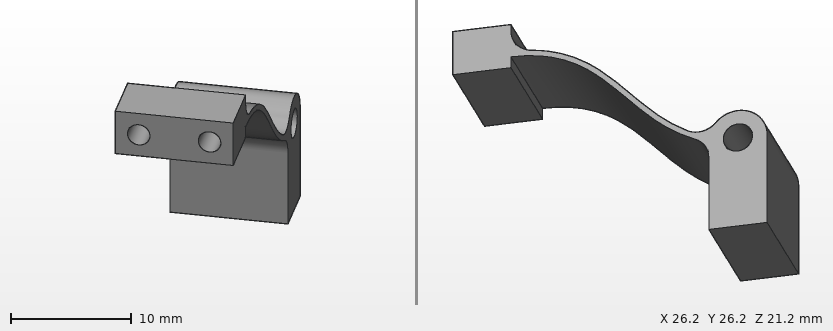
import cadquery as cq

LENGTH = 27.0
WIDTH = 10.0
HEIGHT = 21.18
TURN_ANGLE = -45.0

FOOT_LENGTH = 5.0
TOP_RADIUS = FOOT_LENGTH / 2
PIVOT_HEIGHT = 8.18
PIVOT_DIAMETER = 2.5

HEAD_LENGTH = 5.0
HEAD_HEIGHT = 4.0
HEAD_START = LENGTH - HEAD_LENGTH
HEAD_BOTTOM = HEIGHT - HEAD_HEIGHT
END_HOLE_DIAMETER = 1.9
END_HOLE_INSET = 2.0
END_HOLE_DEPTH = 4.0

STRIP_THICKNESS = 0.5
STRIP_START_HEIGHT = 7.32
STRIP_ABOVE_HEAD_BOTTOM = 1.0
STRIP_END_HEIGHT = HEAD_BOTTOM + STRIP_ABOVE_HEAD_BOTTOM
START_HANDLE_LENGTH = 12.42
END_HANDLE_LENGTH = 10.41

FILLET_RADIUS = 2.0


def extrude_across(profile):
    """Extrude an XZ profile from Y = 0 to the full width."""
    return profile.extrude(-WIDTH)


def make_foot():
    outline = (
        cq.Workplane("XZ")
        .moveTo(0, 0)
        .lineTo(FOOT_LENGTH, 0)
        .lineTo(FOOT_LENGTH, PIVOT_HEIGHT)
        .threePointArc((TOP_RADIUS, PIVOT_HEIGHT + TOP_RADIUS), (0, PIVOT_HEIGHT))
        .close()
    )
    return extrude_across(outline)


def make_head():
    corner = (HEAD_START, 0, HEAD_BOTTOM)
    return cq.Workplane("XY", origin=corner).box(HEAD_LENGTH, WIDTH, HEAD_HEIGHT, centered=False)


def make_strip():
    """Draw the underside curve out across the width and thicken the sheet upwards."""
    underside = cq.Edge.makeBezier(
        [
            cq.Vector(0, 0, STRIP_START_HEIGHT),
            cq.Vector(START_HANDLE_LENGTH, 0, STRIP_START_HEIGHT),
            cq.Vector(HEAD_START - END_HANDLE_LENGTH, 0, STRIP_END_HEIGHT),
            cq.Vector(HEAD_START, 0, STRIP_END_HEIGHT),
        ]
    )
    opposite_edge = underside.translate(cq.Vector(0, WIDTH, 0))
    sheet = cq.Face.makeRuledSurface(underside, opposite_edge)
    return cq.Workplane(sheet.thicken(STRIP_THICKNESS))


def edges_across_width(body, low, high):
    """Edges running across the width whose centres lie between two XZ corners."""
    box = cq.selectors.BoxSelector((low[0], WIDTH / 4, low[1]), (high[0], WIDTH * 3 / 4, high[1]))
    return body.edges(box)


def fillet_strip_roots(body):
    """Round both strip-to-foot corners and the corner between strip top and head."""
    foot_corners = edges_across_width(
        body,
        (TOP_RADIUS, PIVOT_HEIGHT - TOP_RADIUS),
        (FOOT_LENGTH + STRIP_THICKNESS, PIVOT_HEIGHT + TOP_RADIUS),
    )
    head_corner = edges_across_width(
        body,
        (HEAD_START - STRIP_THICKNESS, STRIP_END_HEIGHT + STRIP_THICKNESS / 2),
        (HEAD_START + STRIP_THICKNESS, HEIGHT - FILLET_RADIUS),
    )
    return foot_corners.add(head_corner).fillet(FILLET_RADIUS)


def make_pivot_hole():
    circle = cq.Workplane("XZ").center(TOP_RADIUS, PIVOT_HEIGHT).circle(PIVOT_DIAMETER / 2)
    return extrude_across(circle)


def make_end_holes():
    center_height = HEAD_BOTTOM + HEAD_HEIGHT / 2
    return (
        cq.Workplane("YZ", origin=(LENGTH, 0, center_height))
        .pushPoints([(END_HOLE_INSET, 0), (WIDTH - END_HOLE_INSET, 0)])
        .circle(END_HOLE_DIAMETER / 2)
        .extrude(-END_HOLE_DEPTH)
    )


body = make_foot().union(make_strip()).union(make_head())
body = fillet_strip_roots(body)
body = body.cut(make_pivot_hole()).cut(make_end_holes())
result = body.rotate((0, 0, 0), (0, 0, 1), TURN_ANGLE)